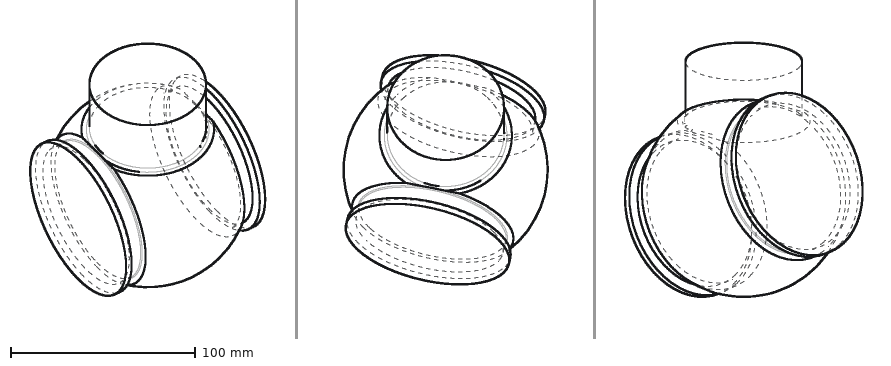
import cadquery as cq

body_radius = 55.5625
side_flat = 32.7
top_flat = 42.3

ferrule_end = 46.1
flange_radius = 45.55
flange_rim_width = 3.65
flange_taper_width = 1.6
neck_radius = 41.0
neck_fillet = 0.6

stem_radius = 31.75
stem_top = 132.13 - body_radius
stem_fillet = 1.5875


def trim_to_flats(shape):
    """Cut away everything beyond the +Y and -Y flats."""
    slab = cq.Workplane("XY").box(2 * stem_top, 2 * side_flat, 2 * stem_top)
    return shape.intersect(slab)


def make_body():
    """Ball cut flat on the +Y, -Y and +Z sides."""
    ball = cq.Workplane("XY").sphere(body_radius)
    above_top_flat = cq.Workplane("XY", origin=(0, 0, top_flat)).circle(body_radius).extrude(body_radius)
    return trim_to_flats(ball.cut(above_top_flat))


def make_ferrules():
    """Neck through the ball with a tapered clamp flange on both ends, revolved about Y."""
    rim_start = ferrule_end - flange_rim_width
    taper_start = rim_start - flange_taper_width
    neck_foot = side_flat + neck_fillet
    foot_radius = neck_radius + neck_fillet
    half_profile = (
        cq.Workplane("XY")
        .lineTo(foot_radius, 0)
        .lineTo(foot_radius, side_flat)
        .radiusArc((neck_radius, neck_foot), neck_fillet)
        .lineTo(neck_radius, taper_start)
        .lineTo(flange_radius, rim_start)
        .lineTo(flange_radius, ferrule_end)
        .lineTo(0, ferrule_end)
        .close()
    )
    ferrule = half_profile.revolve(360, (0, 0, 0), (0, 1, 0))
    return ferrule.union(ferrule.mirror("XZ"))


def make_stem():
    """Solid stem rising from the ball centre, with a filleted foot trimmed level with the flats."""
    foot_radius = stem_radius + stem_fillet
    profile = (
        cq.Workplane("XZ")
        .lineTo(foot_radius, 0)
        .lineTo(foot_radius, top_flat)
        .radiusArc((stem_radius, top_flat + stem_fillet), stem_fillet)
        .lineTo(stem_radius, stem_top)
        .lineTo(0, stem_top)
        .close()
    )
    stem = profile.revolve(360, (0, 0, 0), (0, 1, 0))
    return trim_to_flats(stem)


valve_body = make_body().union(make_ferrules()).union(make_stem())
result = cq.Workplane(valve_body.solids().val())